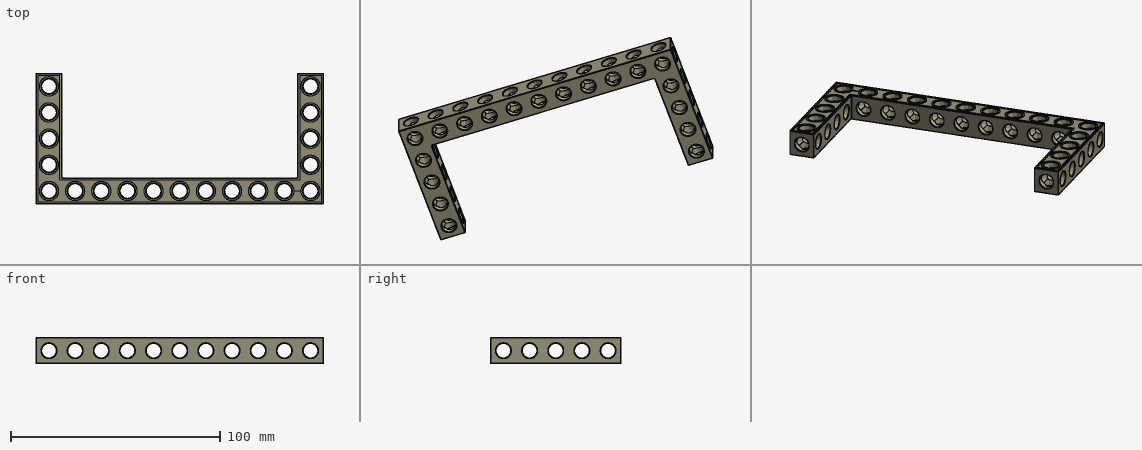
import cadquery as cq

length = 137.5
holes_along_base = 11
holes_along_arm = 5
hole_diameter = 7.0
edge_chamfer = 0.3
lip_width = 0.8
recess_depth = 0.2
slit_width = 0.1
slit_depth = 0.2
slit_clearance = 0.07

pitch = length / holes_along_base
depth = pitch * holes_along_arm
height = pitch
half_pitch = pitch / 2
border_inset = edge_chamfer + lip_width
hole_lip_diameter = hole_diameter + 2 * border_inset
recess_floor = height - recess_depth

base_xs = [half_pitch + i * pitch for i in range(holes_along_base)]
row_ys = [half_pitch + i * pitch for i in range(holes_along_arm)]
arm_xs = [base_xs[0], base_xs[-1]]
base_centers = [(x, half_pitch) for x in base_xs]
arm_centers = [(x, y) for x in arm_xs for y in row_ys[1:]]
vertical_centers = base_centers + arm_centers


def u_prism(inset, bottom, tall):
    """U-shaped prism whose outline lies inset inside the bracket's own outline."""
    near = inset
    far_x = length - inset
    far_y = depth - inset
    inner_left = pitch - inset
    inner_right = length - pitch + inset
    inner_y = pitch - inset
    outline = [
        (near, near),
        (far_x, near),
        (far_x, far_y),
        (inner_right, far_y),
        (inner_right, inner_y),
        (inner_left, inner_y),
        (inner_left, far_y),
        (near, far_y),
    ]
    return cq.Workplane("XY", origin=(0, 0, bottom)).polyline(outline).close().extrude(tall)


def hole_cutter(start, direction, hole_length):
    """Round hole from start along direction, with a chamfered rim at both ends."""
    radius = hole_diameter / 2
    rim_radius = radius + edge_chamfer
    profile = [
        (0, 0),
        (rim_radius, 0),
        (radius, edge_chamfer),
        (radius, hole_length - edge_chamfer),
        (rim_radius, hole_length),
        (0, hole_length),
    ]
    across = (0, 0, 1) if direction == (1, 0, 0) else (1, 0, 0)
    normal = cq.Vector(*across).cross(cq.Vector(*direction))
    plane = cq.Plane(origin=start, xDir=across, normal=normal.toTuple())
    return cq.Workplane(plane).polyline(profile).close().revolve(360, (0, 0), (0, 1))


def all_hole_cutters():
    along_x, along_y, along_z = (1, 0, 0), (0, 1, 0), (0, 0, 1)
    mid = height / 2

    cutters = [hole_cutter((x, y, 0), along_z, height) for x, y in vertical_centers]

    cutters += [hole_cutter((x, 0, mid), along_y, pitch) for x in base_xs[1:-1]]
    cutters += [hole_cutter((x, 0, mid), along_y, depth) for x in arm_xs]

    cutters.append(hole_cutter((0, half_pitch, mid), along_x, length))
    for arm_left in (0, length - pitch):
        cutters += [hole_cutter((arm_left, y, mid), along_x, pitch) for y in row_ys[1:]]
    return cutters


def top_recess():
    """Shallow recess in the top face that leaves a lip at the border and around each hole."""
    hole_lips = (
        cq.Workplane("XY", origin=(0, 0, recess_floor))
        .pushPoints(vertical_centers)
        .circle(hole_lip_diameter / 2)
        .extrude(recess_depth)
    )
    return u_prism(border_inset, recess_floor, recess_depth).cut(hole_lips)


def corner_slit():
    """Fine slit in the recess floor between the last two holes of the base."""
    slit_length = pitch - hole_lip_diameter - 2 * slit_clearance
    slit_center = (length - pitch, half_pitch, recess_floor - slit_depth)
    return cq.Workplane("XY", origin=slit_center).rect(slit_length, slit_width).extrude(slit_depth)


result = u_prism(0, 0, height).edges().chamfer(edge_chamfer)
for cutter in all_hole_cutters():
    result = result.cut(cutter)
result = result.cut(top_recess())
result = result.cut(corner_slit())